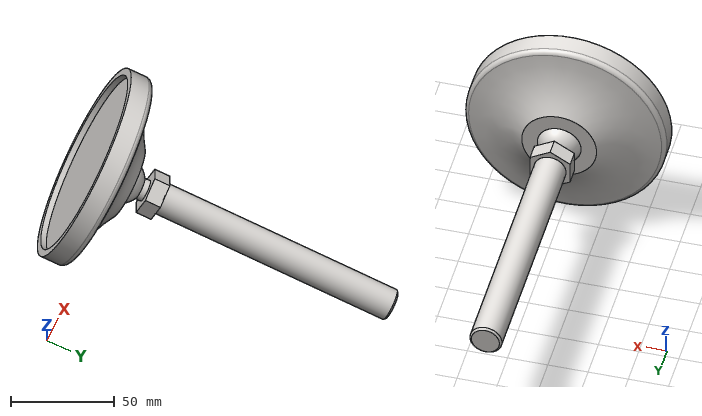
import cadquery as cq
import math

total_length = 166.0
base_radius = 100.0 / 2
rim_height = 9.6
rim_round = 2.7
shoulder_inset = 2.0
base_height = 23.5
crown_radius = 18.6
flare_mid_radius = 31.5
flare_mid_height = 16.5
recess_radius = 92.5 / 2
recess_depth = 3.0

neck_radius = 11.0 / 2
ball_top = 30.0
ball_radius = 11.5
hex_bottom = 33.0
hex_top = 41.2
hex_across_flats = 20.0
stud_radius = 16.0 / 2
stud_chamfer = 1.0

shoulder_radius = base_radius - shoulder_inset
shoulder_height = rim_height + rim_round
ball_center = ball_top - math.sqrt(ball_radius**2 - neck_radius**2)
ball_mid_height = (base_height + ball_top) / 2


def ball_radius_at(height):
    """Radius of the ball's circular section at a height."""
    return math.sqrt(ball_radius**2 - (height - ball_center) ** 2)


def make_foot():
    """Flared disc with a recessed underside, carrying the ball and the neck."""
    profile = (
        cq.Workplane("XY")
        .moveTo(0, recess_depth)
        .lineTo(recess_radius, recess_depth)
        .lineTo(recess_radius, 0)
        .lineTo(base_radius, 0)
        .lineTo(base_radius, rim_height)
        .tangentArcPoint((shoulder_radius, shoulder_height), relative=False)
        .threePointArc((flare_mid_radius, flare_mid_height), (crown_radius, base_height))
        .lineTo(ball_radius_at(base_height), base_height)
        .threePointArc((ball_radius_at(ball_mid_height), ball_mid_height), (neck_radius, ball_top))
        .lineTo(neck_radius, hex_bottom)
        .lineTo(0, hex_bottom)
        .close()
    )
    return profile.revolve(360, (0, 0, 0), (0, 1, 0))


def make_hex():
    """Hexagon with two flats facing +X and -X and corners on Z."""
    corner_diameter = hex_across_flats / math.cos(math.pi / 6)
    plane = cq.Workplane("XZ", origin=(0, hex_bottom, 0))
    hexagon = plane.polygon(6, corner_diameter).extrude(hex_bottom - hex_top)
    return hexagon.rotate((0, 0, 0), (0, 1, 0), 30)


def make_stud():
    """Round stud with a chamfered free end."""
    plane = cq.Workplane("XZ", origin=(0, hex_top, 0))
    stud = plane.circle(stud_radius).extrude(hex_top - total_length)
    return stud.faces(">Y").chamfer(stud_chamfer)


result = make_foot().union(make_hex()).union(make_stud())